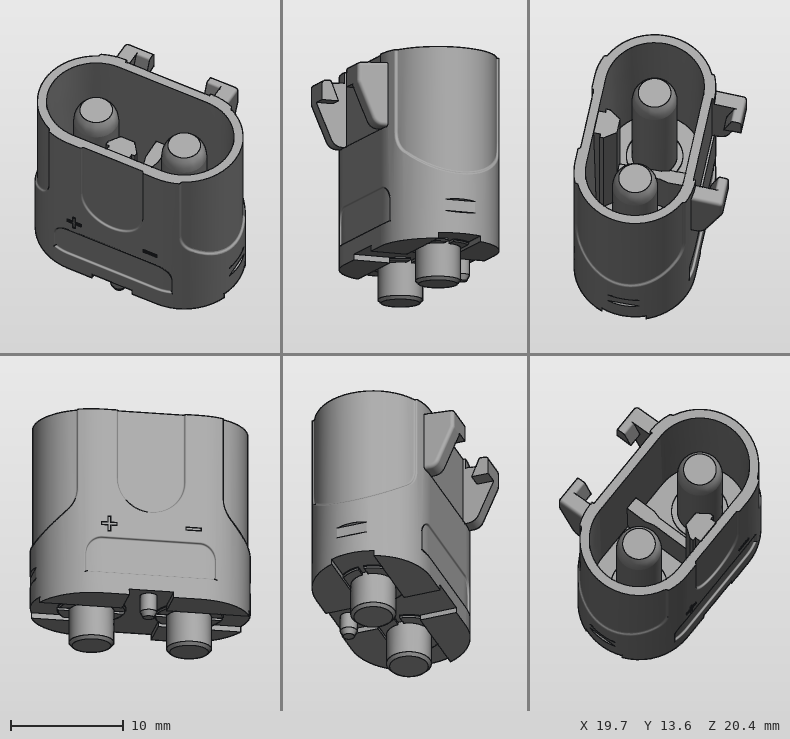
import cadquery as cq
import math


TOTAL_LENGTH = 19.65
TOTAL_DEPTH = 13.55
TOTAL_HEIGHT = 20.4
TOLERANCE = 0.002
OVERCUT = 0.2

END_RADIUS = 5.43
HALF_LENGTH = TOTAL_LENGTH / 2
PITCH = TOTAL_LENGTH - 2 * END_RADIUS
HEIGHT = 17.4
CONTACT_PLACES = [(-PITCH / 2, 0), (PITCH / 2, 0)]

CAVITY_RADIUS = 4.4
CAVITY_FLOOR = 4.49
CAVITY_DRAFT = 1.0

RECESS_DEPTH = 0.2
RECESS_DRAFT = 22.0
RECESS_OPEN_Z = HEIGHT + 5 * OVERCUT
GRIP_FILLET = 0.15
PANEL_FILLET = 0.1
SIDE_FILLET = 0.153
GRIP_HALF_WIDTH = 3.04
GRIP_ARC_Z = 10.98
PANEL_HALF_WIDTH = 5.92
PANEL_BOTTOM = 1.98
PANEL_TOP = 5.26
PANEL_CORNER_RADIUS = PANEL_HALF_WIDTH - PITCH / 2
SIDE_RECESS_X = 6.57
SIDE_RECESS_LOW_Z = 5.92
SIDE_RECESS_SLOPE = 41.0
SIDE_RECESS_BEND = 2.49

MARK_X = 3.8
MARK_Z = 6.6
MARK_LENGTH = 1.39
MARK_WIDTH = 0.27
MARK_DEPTH = 0.08

POCKET_DEPTH = 0.18
POCKET_BOTTOM = 2.4
POCKET_TOP = 3.63
POCKET_BEVEL = 0.1

FOOT_HEIGHT = 0.5
CHANNEL_WIDTH = 4.0
COLLAR_RADIUS = 3.05
COLLAR_HEIGHT = 0.22
COLLAR_BEVEL = 0.12
COLLAR_SLIT = 0.53

CONTACT_RADIUS = 2.0
CONTACT_BOTTOM = HEIGHT - TOTAL_HEIGHT
CONTACT_TOP = 16.2
CONTACT_CHAMFER = 0.29
CONTACT_FLAT_RADIUS = 1.45
CONTACT_NOSE_HEIGHT = 1.43
FLANGE_RADIUS = 2.5
FLANGE_HEIGHT = 0.1

PEG_RADIUS = 0.75
PEG_TIP_RADIUS = 0.49
PEG_Y = -4.02
PEG_BOTTOM = -1.53
PEG_TIP_HEIGHT = 0.5

RIB_TOP = 9.38
RIB_HALF_WIDTH = 0.63
RIB_WAIST_HALF_WIDTH = 0.4
RIB_BACK_Y = 4.6
RIB_TAPER_START_Y = 2.25
RIB_TAPER_END_Y = 1.43
KEY_TOP = 17.14
KEY_HALF_WIDTH = 1.45
KEY_NECK_HALF_WIDTH = 1.12
KEY_NOSE_HALF_WIDTH = 0.7
KEY_NOSE_Y = -2.39
KEY_SHOULDER_Y = -3.43
KEY_STEP_Y = -3.8
KEY_ROOT_Y = -4.6

ARM_OUTER_X = 5.65
ARM_INNER_X = 4.18
LIP_INNER_X = 2.85
LIP_TOP_Y = 7.35
LIP_CATCH_Y = 6.55
LIP_CATCH_Z = 14.48
LIP_TOP_RADIUS = 0.22
ARM_BACK_Y = TOTAL_DEPTH - END_RADIUS
ARM_ROOT_Y = 4.8
ARM_TOP = 16.48
ARM_TOP_DROP = 0.25
ARM_BEND_Z = 14.45
ARM_HEEL_Y = 6.4
ARM_BOTTOM = 10.6
ARM_EDGE_RADIUS = 0.33
ARM_CORNER_RADIUS = 0.35
ARM_HEEL_RADIUS = 1.02
ARM_BEND_RADIUS = 0.61


def stadium(radius, bottom, top):
    """Upright prism with round ends centred on the contact axes."""
    return (
        cq.Workplane("XY", origin=(0, 0, bottom))
        .slot2D(PITCH + 2 * radius, 2 * radius)
        .extrude(top - bottom)
    )


def round_edge(body, place, radius):
    """Fillet the edge nearest to a point."""
    return body.edges(cq.selectors.NearestToPointSelector(place)).fillet(radius)


def skin():
    """The outer layer of the housing that the recesses are cut into."""
    outer = stadium(END_RADIUS + OVERCUT, -OVERCUT, HEIGHT + OVERCUT)
    return outer.cut(stadium(END_RADIUS - RECESS_DEPTH, -OVERCUT, HEIGHT + OVERCUT))


def drafted(sketch):
    """Front cutter with sides that open outwards; the outline holds at half the recess depth."""
    middle_y = END_RADIUS - RECESS_DEPTH / 2
    reach = 2 * RECESS_DEPTH
    inward = sketch(middle_y).extrude(-reach, taper=RECESS_DRAFT)
    outward = sketch(middle_y).extrude(reach, taper=-RECESS_DRAFT)
    return inward.union(outward)


def grip_outline(y):
    return (
        cq.Workplane("XZ", origin=(0, -y, 0))
        .moveTo(-GRIP_HALF_WIDTH, RECESS_OPEN_Z)
        .lineTo(-GRIP_HALF_WIDTH, GRIP_ARC_Z)
        .threePointArc((0, GRIP_ARC_Z - GRIP_HALF_WIDTH), (GRIP_HALF_WIDTH, GRIP_ARC_Z))
        .lineTo(GRIP_HALF_WIDTH, RECESS_OPEN_Z)
        .close()
    )


def panel_outline(y):
    outline = (
        cq.Sketch()
        .rect(2 * PANEL_HALF_WIDTH, PANEL_TOP - PANEL_BOTTOM)
        .vertices(">Y")
        .fillet(PANEL_CORNER_RADIUS)
    )
    middle = (PANEL_BOTTOM + PANEL_TOP) / 2
    return cq.Workplane("XZ", origin=(0, -y, middle)).placeSketch(outline)


def side_recess_cutter():
    """Everything outside a line that drops down the left end, bends and slants outwards."""
    slope = math.tan(math.radians(SIDE_RECESS_SLOPE))
    far_x = 1.5 * HALF_LENGTH
    bend_z = SIDE_RECESS_LOW_Z + (HALF_LENGTH - SIDE_RECESS_X) * slope
    far_z = bend_z - (far_x - SIDE_RECESS_X) * slope
    cutter = (
        cq.Workplane("XZ")
        .moveTo(-SIDE_RECESS_X, RECESS_OPEN_Z)
        .lineTo(-SIDE_RECESS_X, bend_z)
        .lineTo(-far_x, far_z)
        .lineTo(-far_x, RECESS_OPEN_Z)
        .close()
        .extrude(END_RADIUS * 2, both=True)
    )
    return round_edge(cutter, (-SIDE_RECESS_X, 0, bend_z), SIDE_RECESS_BEND)


def cut_recess(body, cutter, radius):
    """Cut a shallow recess and round the outer and inner edges of its wall."""
    cutter = cutter.intersect(skin())
    body = body.cut(cutter)
    bounds = cutter.val().BoundingBox()
    near_recess = cq.selectors.BoxSelector(
        (bounds.xmin - TOLERANCE, bounds.ymin - TOLERANCE, bounds.zmin - TOLERANCE),
        (bounds.xmax + TOLERANCE, bounds.ymax + TOLERANCE, bounds.zmax + TOLERANCE),
        boundingbox=True,
    )

    def along_wall(edge):
        box = edge.BoundingBox()
        on_rim = box.zmin > HEIGHT - TOLERANCE
        across_wall = edge.Length() < 2 * RECESS_DEPTH
        at_end_round = abs(abs(box.center.x) - PITCH / 2) < TOLERANCE
        face_joint = at_end_round and box.xlen < TOLERANCE
        return not (on_rim or across_wall or face_joint)

    edges = [edge for edge in body.edges(near_recess).vals() if along_wall(edge)]
    return body.newObject(edges).fillet(radius)


def block(x_range, y_range, z_range):
    size = [high - low for low, high in (x_range, y_range, z_range)]
    corner = (x_range[0], y_range[0], z_range[0])
    return cq.Workplane("XY", origin=corner).box(*size, centered=False)


def centred_block(x, z, width, height, y_range):
    return block((x - width / 2, x + width / 2), y_range, (z - height / 2, z + height / 2))


def polarity_marks():
    depth = (-END_RADIUS - OVERCUT, -END_RADIUS + MARK_DEPTH)
    minus = centred_block(MARK_X, MARK_Z, MARK_LENGTH, MARK_WIDTH, depth)
    across = centred_block(-MARK_X, MARK_Z, MARK_LENGTH, MARK_WIDTH, depth)
    upright = centred_block(-MARK_X, MARK_Z, MARK_WIDTH, MARK_LENGTH, depth)
    return minus.union(across).union(upright)


def end_pocket():
    """Flat-bottomed pocket with bevelled ends in the left end of the housing."""
    floor_x = -HALF_LENGTH + POCKET_DEPTH
    open_x = -HALF_LENGTH - POCKET_DEPTH
    return (
        cq.Workplane("XZ")
        .moveTo(floor_x, POCKET_BOTTOM + POCKET_BEVEL)
        .lineTo(open_x, POCKET_BOTTOM - POCKET_BEVEL)
        .lineTo(open_x, POCKET_TOP + POCKET_BEVEL)
        .lineTo(floor_x, POCKET_TOP - POCKET_BEVEL)
        .close()
        .extrude(END_RADIUS, both=True)
    )


def cavity():
    return (
        cq.Workplane("XY", origin=(0, 0, HEIGHT))
        .slot2D(PITCH + 2 * CAVITY_RADIUS, 2 * CAVITY_RADIUS)
        .extrude(CAVITY_FLOOR - HEIGHT, taper=CAVITY_DRAFT)
    )


def underside_channels():
    """Crossed channels that leave four feet, with a slit collar standing around each contact."""
    half = CHANNEL_WIDTH / 2
    lengthwise = block((-HALF_LENGTH, HALF_LENGTH), (-half, half), (0, FOOT_HEIGHT))
    crosswise = block((-half, half), (-END_RADIUS, END_RADIUS), (0, FOOT_HEIGHT))
    collars = (
        cq.Workplane("XY", origin=(0, 0, FOOT_HEIGHT - COLLAR_HEIGHT))
        .pushPoints(CONTACT_PLACES)
        .circle(COLLAR_RADIUS)
        .extrude(COLLAR_HEIGHT)
        .faces("<Z")
        .chamfer(COLLAR_BEVEL)
    )
    slit = block(
        (-HALF_LENGTH, HALF_LENGTH), (-COLLAR_SLIT / 2, COLLAR_SLIT / 2), (0, FOOT_HEIGHT)
    )
    return lengthwise.union(crosswise).cut(collars.cut(slit))


def contact():
    """One round contact pin with its flange, turned about its own axis."""
    return (
        cq.Workplane("XZ")
        .moveTo(0, CONTACT_BOTTOM)
        .lineTo(CONTACT_RADIUS - CONTACT_CHAMFER, CONTACT_BOTTOM)
        .lineTo(CONTACT_RADIUS, CONTACT_BOTTOM + CONTACT_CHAMFER)
        .lineTo(CONTACT_RADIUS, FOOT_HEIGHT)
        .lineTo(FLANGE_RADIUS, FOOT_HEIGHT)
        .lineTo(FLANGE_RADIUS, CAVITY_FLOOR + FLANGE_HEIGHT)
        .lineTo(CONTACT_RADIUS, CAVITY_FLOOR + FLANGE_HEIGHT)
        .lineTo(CONTACT_RADIUS, CONTACT_TOP - CONTACT_NOSE_HEIGHT)
        .tangentArcPoint((CONTACT_FLAT_RADIUS, CONTACT_TOP), relative=False)
        .lineTo(0, CONTACT_TOP)
        .close()
        .revolve(360, (0, 0, 0), (0, 1, 0))
    )


def peg():
    shank_bottom = PEG_BOTTOM + PEG_TIP_HEIGHT
    return (
        cq.Workplane("XZ", origin=(0, PEG_Y, 0))
        .moveTo(0, PEG_BOTTOM)
        .lineTo(PEG_TIP_RADIUS, PEG_BOTTOM)
        .lineTo(PEG_RADIUS, shank_bottom)
        .lineTo(PEG_RADIUS, FOOT_HEIGHT)
        .lineTo(0, FOOT_HEIGHT)
        .close()
        .revolve(360, (0, 0, 0), (0, 1, 0))
    )


def symmetric_prism(half_outline, bottom, top):
    """Upright prism from the right half of an outline that is mirrored about X = 0."""
    mirrored = [(-x, y) for x, y in reversed(half_outline)]
    return (
        cq.Workplane("XY", origin=(0, 0, bottom))
        .polyline(half_outline + mirrored)
        .close()
        .extrude(top - bottom)
    )


def rib():
    outline = [
        (RIB_HALF_WIDTH, RIB_BACK_Y),
        (RIB_HALF_WIDTH, RIB_TAPER_START_Y),
        (RIB_WAIST_HALF_WIDTH, RIB_TAPER_END_Y),
        (RIB_WAIST_HALF_WIDTH, KEY_NOSE_Y),
    ]
    return symmetric_prism(outline, CAVITY_FLOOR, RIB_TOP)


def key():
    outline = [
        (KEY_NOSE_HALF_WIDTH, KEY_NOSE_Y),
        (KEY_HALF_WIDTH, KEY_SHOULDER_Y),
        (KEY_HALF_WIDTH, KEY_STEP_Y),
        (KEY_NECK_HALF_WIDTH, KEY_STEP_Y),
        (KEY_NECK_HALF_WIDTH, KEY_ROOT_Y),
    ]
    return symmetric_prism(outline, CAVITY_FLOOR, KEY_TOP)


def latch_arm():
    """Left latch arm: a side plate whose back edge turns inwards as a lip."""
    top_corner_z = ARM_TOP - ARM_TOP_DROP
    whole = (
        cq.Workplane("YZ", origin=(-ARM_OUTER_X, 0, 0))
        .moveTo(ARM_ROOT_Y, ARM_BOTTOM)
        .lineTo(ARM_HEEL_Y, ARM_BOTTOM)
        .lineTo(ARM_BACK_Y, ARM_BEND_Z)
        .lineTo(ARM_BACK_Y, top_corner_z)
        .lineTo(ARM_ROOT_Y, ARM_TOP)
        .close()
        .extrude(ARM_OUTER_X - LIP_INNER_X)
    )
    whole = round_edge(whole, (-ARM_INNER_X, ARM_HEEL_Y, ARM_BOTTOM), ARM_HEEL_RADIUS)
    whole = round_edge(whole, (-ARM_INNER_X, ARM_BACK_Y, ARM_BEND_Z), ARM_BEND_RADIUS)
    whole = round_edge(whole, (-ARM_INNER_X, ARM_BACK_Y, top_corner_z), ARM_CORNER_RADIUS)
    whole = whole.faces("<X").edges("not <Y").fillet(ARM_EDGE_RADIUS)
    lip_wedge = (
        cq.Workplane("YZ", origin=(-ARM_INNER_X, 0, 0))
        .moveTo(LIP_TOP_Y, ARM_TOP)
        .lineTo(LIP_CATCH_Y, LIP_CATCH_Z)
        .lineTo(ARM_BACK_Y, LIP_CATCH_Z)
        .lineTo(ARM_BACK_Y, ARM_TOP)
        .close()
        .extrude(ARM_INNER_X - LIP_INNER_X)
    )
    lip_middle_x = -(ARM_INNER_X + LIP_INNER_X) / 2
    lip = round_edge(
        whole.intersect(lip_wedge), (lip_middle_x, LIP_TOP_Y, top_corner_z), LIP_TOP_RADIUS
    )
    side_room = block((-ARM_OUTER_X, -ARM_INNER_X), (0, ARM_BACK_Y), (0, HEIGHT))
    return whole.intersect(side_room).union(lip)


def back_recess():
    """Flat relief in the back wall between the latch arms."""
    return block(
        (-ARM_INNER_X, ARM_INNER_X),
        (END_RADIUS - RECESS_DEPTH, END_RADIUS + OVERCUT),
        (ARM_BOTTOM, HEIGHT + OVERCUT),
    )


def both_ends(left):
    return left.union(left.mirror("YZ"))


housing = stadium(END_RADIUS, 0, HEIGHT)
housing = cut_recess(housing, drafted(grip_outline), GRIP_FILLET)
front_panel = drafted(panel_outline)
housing = cut_recess(housing, front_panel, PANEL_FILLET)
housing = cut_recess(housing, front_panel.mirror("XZ"), PANEL_FILLET)
side_recess = side_recess_cutter()
housing = cut_recess(housing, side_recess, SIDE_FILLET)
housing = cut_recess(housing, side_recess.mirror("YZ"), SIDE_FILLET)
housing = housing.cut(both_ends(end_pocket())).cut(polarity_marks()).cut(cavity())
housing = housing.cut(underside_channels()).cut(back_recess())
result = housing.union(rib()).union(key()).union(peg()).union(both_ends(latch_arm()))
for x, y in CONTACT_PLACES:
    result = result.union(contact().translate((x, y, 0)))